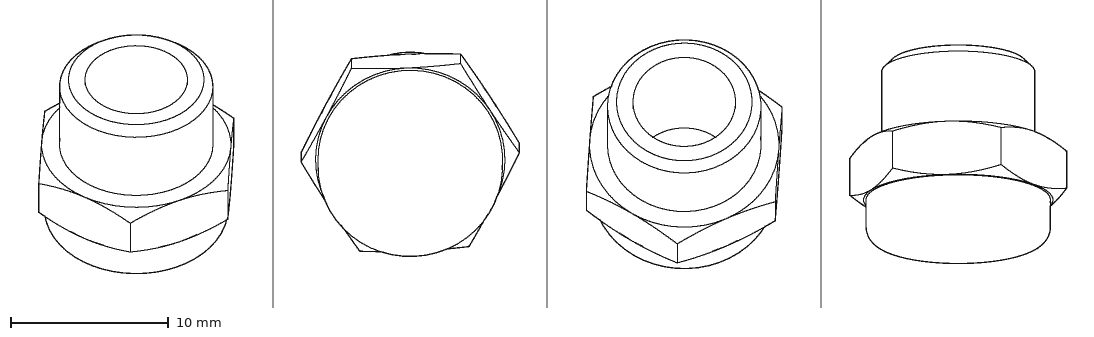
import cadquery as cq
import math

hex_across_corners = 13.86
hex_across_flats = hex_across_corners * math.cos(math.radians(30))
hex_height = 3.5
hex_chamfer_angle = 30.0

collar_diameter = 11.7
collar_height = 2.8
collar_fillet = 1.0

total_height = 11.8
spigot_diameter = 9.73
spigot_chamfer = 0.57
bore_diameter = 6.5
floor_thickness = collar_height

hex_top = collar_height + hex_height


def make_collar():
    """Round collar with a rounded lower edge."""
    collar = cq.Workplane("XY").circle(collar_diameter / 2).extrude(collar_height)
    return collar.faces("<Z").edges().fillet(collar_fillet)


def make_hexagon():
    """Hexagon with corners on the Y axis, its corners bevelled by cones at both ends."""
    flat_radius = hex_across_flats / 2
    corner_radius = hex_across_corners / 2
    bevel_height = (corner_radius - flat_radius) * math.tan(math.radians(hex_chamfer_angle))
    prism = (
        cq.Workplane("XY")
        .polygon(6, hex_across_corners)
        .extrude(hex_height)
        .rotate((0, 0, 0), (0, 0, 1), 30)
    )
    envelope = (
        cq.Workplane("XZ")
        .moveTo(0, 0)
        .lineTo(flat_radius, 0)
        .lineTo(corner_radius, bevel_height)
        .lineTo(corner_radius, hex_height - bevel_height)
        .lineTo(flat_radius, hex_height)
        .lineTo(0, hex_height)
        .close()
        .revolve(360, (0, 0, 0), (0, 1, 0))
    )
    return prism.intersect(envelope).translate((0, 0, collar_height))


def make_spigot():
    """Round spigot with a chamfered top edge."""
    spigot = (
        cq.Workplane("XY")
        .workplane(offset=hex_top)
        .circle(spigot_diameter / 2)
        .extrude(total_height - hex_top)
    )
    return spigot.faces(">Z").edges().chamfer(spigot_chamfer)


def make_bore():
    """Blind bore that leaves a solid floor as thick as the collar."""
    return (
        cq.Workplane("XY")
        .workplane(offset=floor_thickness)
        .circle(bore_diameter / 2)
        .extrude(total_height - floor_thickness)
    )


result = make_collar().union(make_hexagon()).union(make_spigot()).cut(make_bore())